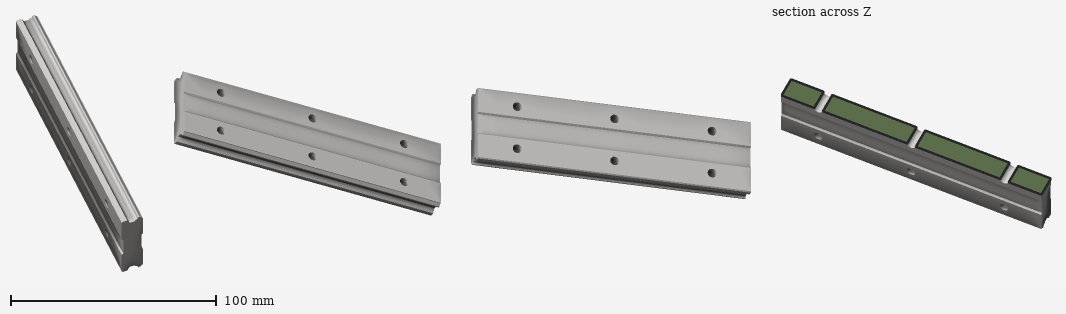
import cadquery as cq

length = 140.0
thickness = 11.0
height = 37.0
half_thickness = thickness / 2
half_height = height / 2

recess_depth = 0.8
recess_floor_half_height = 4.9
recess_mouth_half_height = recess_floor_half_height + recess_depth

front_chamfer = 0.5
groove_depth = 2.2
groove_front_mouth_y = -2.7
groove_front_floor_y = -1.4
groove_back_floor_y = 1.0
groove_back_bend_y = 1.8
groove_back_bend_depth = 1.4
groove_back_step_y = 2.7
groove_back_step_depth = 1.0
groove_back_mouth_y = 3.1
back_bevel_top_y = 3.8
back_bevel_depth = 1.3
back_ledge_width = 0.4

hole_diameter = 4.5
hole_pitch_x = 50.0
hole_pitch_z = 22.0


def upper_outline():
    """(Y, Z) points of the upper half, from the front recess to the back recess."""
    recess_floor_y = half_thickness - recess_depth
    bevel_bottom_z = half_height - back_bevel_depth
    return [
        (-recess_floor_y, recess_floor_half_height),
        (-half_thickness, recess_mouth_half_height),
        (-half_thickness, half_height - front_chamfer),
        (-half_thickness + front_chamfer, half_height),
        (groove_front_mouth_y, half_height),
        (groove_front_floor_y, half_height - groove_depth),
        (groove_back_floor_y, half_height - groove_depth),
        (groove_back_bend_y, half_height - groove_back_bend_depth),
        (groove_back_step_y, half_height - groove_back_step_depth),
        (groove_back_mouth_y, half_height),
        (back_bevel_top_y, half_height),
        (half_thickness - back_ledge_width, bevel_bottom_z),
        (half_thickness, bevel_bottom_z),
        (half_thickness, recess_mouth_half_height),
        (recess_floor_y, recess_floor_half_height),
    ]


upper = upper_outline()
lower = [(y, -z) for y, z in reversed(upper)]
rail = (
    cq.Workplane("YZ")
    .polyline(upper + lower)
    .close()
    .extrude(length / 2, both=True)
)

holes = (
    cq.Workplane("XZ")
    .rarray(hole_pitch_x, hole_pitch_z, 3, 2)
    .circle(hole_diameter / 2)
    .extrude(thickness, both=True)
)

result = rail.cut(holes)